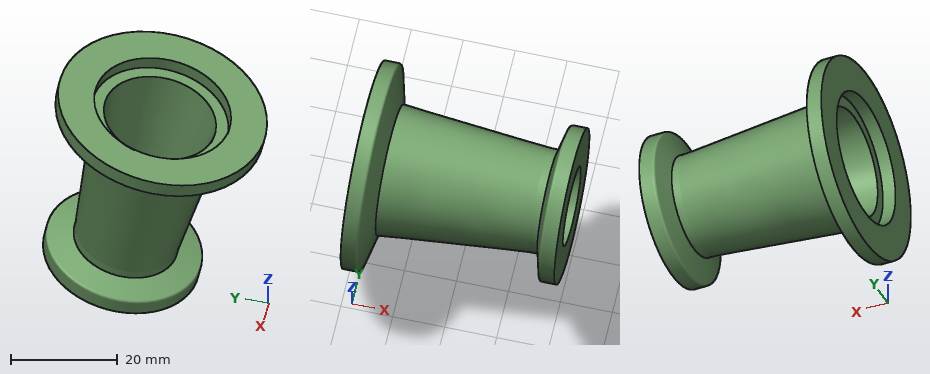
import cadquery as cq
import math

LENGTH = 40.0

LARGE_FLANGE_RADIUS = 20.0
LARGE_TUBE_RADIUS = 12.6
LARGE_BORE_RADIUS = 10.75
RECESS_RADIUS = 13.1
RECESS_DEPTH = 2.6

SMALL_FLANGE_RADIUS = 15.0
SMALL_TUBE_RADIUS = 10.0
SMALL_BORE_RADIUS = 7.65

RIM_WIDTH = 2.7
EDGE_RADIUS = 0.5
BACK_SLOPE = math.radians(15)

STRAIGHT_END_LENGTH = 6.0
TAPER_END = LENGTH - STRAIGHT_END_LENGTH


def flange_back_width(flange_radius, tube_radius):
    """Axial distance from the sealing face to where the sloped back meets the tube."""
    edge_run = EDGE_RADIUS * math.cos(BACK_SLOPE)
    edge_drop = EDGE_RADIUS * (1 - math.sin(BACK_SLOPE))
    slope_height = flange_radius - edge_drop - tube_radius
    return RIM_WIDTH + edge_run + slope_height * math.tan(BACK_SLOPE)


def revolve_about_x(profile):
    """Close a half profile along the X axis and turn it into a solid."""
    return profile.close().revolve(360, (0, 0, 0), (1, 0, 0))


def make_flange(flange_radius, tube_radius):
    """Solid flange with its sealing face at X = 0 and its sloped back toward +X."""
    mid_angle = (math.pi / 2 + BACK_SLOPE) / 2
    center_radius = flange_radius - EDGE_RADIUS

    def edge_point(angle):
        return (RIM_WIDTH + EDGE_RADIUS * math.cos(angle), center_radius + EDGE_RADIUS * math.sin(angle))

    back = flange_back_width(flange_radius, tube_radius)
    profile = (
        cq.Workplane("XZ")
        .lineTo(0, flange_radius)
        .lineTo(RIM_WIDTH, flange_radius)
        .threePointArc(edge_point(mid_angle), edge_point(BACK_SLOPE))
        .lineTo(back, tube_radius)
        .lineTo(back, 0)
    )
    return revolve_about_x(profile)


def make_tube():
    """Solid tapered tube ending in a short straight length inside the small flange."""
    taper_start = flange_back_width(LARGE_FLANGE_RADIUS, LARGE_TUBE_RADIUS)
    profile = (
        cq.Workplane("XZ")
        .moveTo(taper_start, 0)
        .lineTo(taper_start, LARGE_TUBE_RADIUS)
        .lineTo(TAPER_END, SMALL_TUBE_RADIUS)
        .lineTo(LENGTH - RIM_WIDTH, SMALL_TUBE_RADIUS)
        .lineTo(LENGTH - RIM_WIDTH, 0)
    )
    return revolve_about_x(profile)


def make_bore():
    """Through bore: a recess in the large sealing face, a taper, and a straight small end."""
    profile = (
        cq.Workplane("XZ")
        .lineTo(0, RECESS_RADIUS)
        .lineTo(RECESS_DEPTH, RECESS_RADIUS)
        .lineTo(RECESS_DEPTH, LARGE_BORE_RADIUS)
        .lineTo(TAPER_END, SMALL_BORE_RADIUS)
        .lineTo(LENGTH, SMALL_BORE_RADIUS)
        .lineTo(LENGTH, 0)
    )
    return revolve_about_x(profile)


large_flange = make_flange(LARGE_FLANGE_RADIUS, LARGE_TUBE_RADIUS)
small_flange = make_flange(SMALL_FLANGE_RADIUS, SMALL_TUBE_RADIUS).mirror("YZ").translate((LENGTH, 0, 0))

result = large_flange.union(make_tube()).union(small_flange).cut(make_bore())